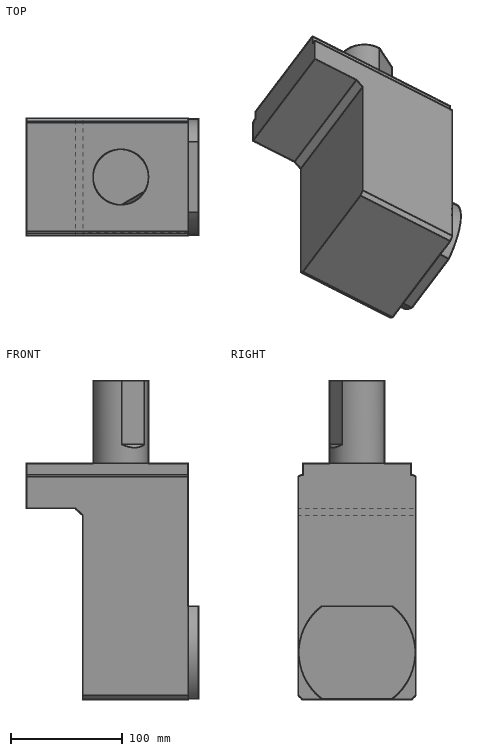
import cadquery as cq

total_length = 155.0
total_height = 287.0
body_width = 106.0

shaft_diameter = 50.0
shaft_height = 74.5
flat_depth = 3.0
flat_length = 57.5
flat_direction = -60.0

body_height = total_height - shaft_height
boss_thickness = 9.5
body_length = total_length - boss_thickness
shaft_to_overhang_end = 85.0
overhang = 50.5
head_height = 40.5
corner_web_length = 6.5
corner_web_height = 6.0

top_width = 97.5
shoulder_depth = 10.3
shoulder_chamfer_width = 2.5
shoulder_chamfer_height = 1.5
bottom_chamfer = 3.7

boss_diameter = 104.8
boss_height = 83.5
boss_bottom_gap = 0.5

x_left = -shaft_to_overhang_end
x_leg = x_left + overhang
x_right = x_left + body_length


def make_body():
    side_profile = (
        cq.Workplane("XZ")
        .moveTo(x_left, 0)
        .lineTo(x_right, 0)
        .lineTo(x_right, -body_height)
        .lineTo(x_leg, -body_height)
        .lineTo(x_leg, -head_height - corner_web_height)
        .lineTo(x_leg - corner_web_length, -head_height)
        .lineTo(x_left, -head_height)
        .close()
        .extrude(body_width / 2, both=True)
    )
    half_width = body_width / 2
    cross_section = (
        cq.Workplane("YZ", origin=(x_left, 0, 0))
        .moveTo(0, 0)
        .lineTo(top_width / 2, 0)
        .lineTo(top_width / 2, -shoulder_depth)
        .lineTo(half_width - shoulder_chamfer_width, -shoulder_depth)
        .lineTo(half_width, -shoulder_depth - shoulder_chamfer_height)
        .lineTo(half_width, bottom_chamfer - body_height)
        .lineTo(half_width - bottom_chamfer, -body_height)
        .lineTo(0, -body_height)
        .mirrorY()
        .extrude(body_length)
    )
    return side_profile.intersect(cross_section)


def make_shaft():
    radius = shaft_diameter / 2
    shaft = cq.Workplane("XY").circle(radius).extrude(shaft_height)
    flat_distance = radius - flat_depth
    flat_end = shaft_height - flat_length
    flat_cut = (
        cq.Workplane("XZ")
        .moveTo(flat_distance, shaft_height)
        .lineTo(flat_distance, flat_end)
        .lineTo(radius, flat_end - flat_depth)
        .lineTo(radius, shaft_height)
        .close()
        .extrude(radius, both=True)
        .rotate((0, 0, 0), (0, 0, 1), flat_direction)
    )
    return shaft.cut(flat_cut)


def make_boss():
    center_z = -body_height + boss_bottom_gap + boss_height / 2
    face = cq.Workplane("YZ", origin=(x_right, 0, center_z))
    disc = face.circle(boss_diameter / 2).extrude(boss_thickness)
    trim = face.rect(boss_diameter, boss_height).extrude(boss_thickness)
    return disc.intersect(trim)


result = make_body().union(make_shaft()).union(make_boss())